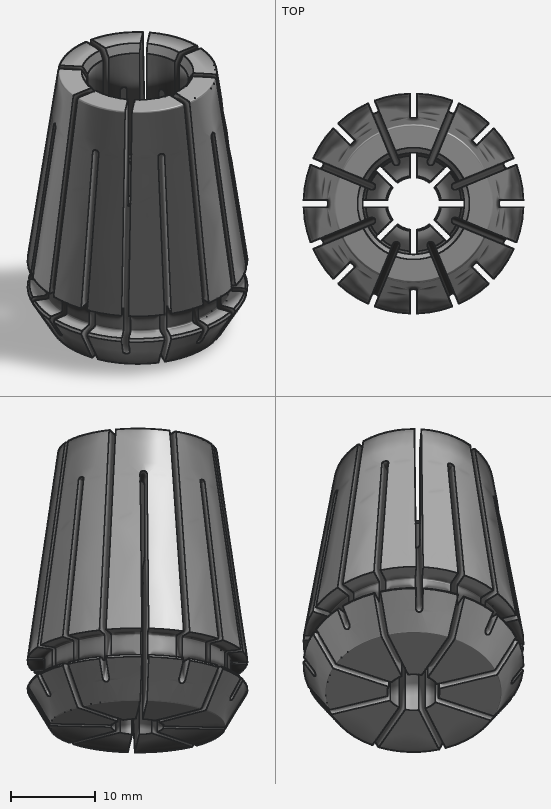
import cadquery as cq
import math

height = 34.0
max_radius = 13.0
clamp_angle = math.radians(8)
nut_angle = math.radians(30)
top_fillet = 0.27
nose_fillet = 0.17

groove_bottom = 4.93
groove_top = 8.13
groove_radius = 11.0
groove_fillet = 0.25
flange_chamfer_width = 0.25
flange_chamfer_height = 0.35

grip_radius = 3.1
grip_chamfer = 0.17
relief_radius = 6.0
relief_bottom = 18.8
relief_corner = 0.35
mouth_radius = 6.6
mouth_depth = 1.02

slots_per_end = 8
slot_width = 0.8
slot_radius = slot_width / 2
slot_pitch = 360 / slots_per_end
lower_slot_top = 28.45
upper_slot_slope = 2.5
upper_slot_exit_radius = 11.53
upper_slot_exit_height = 3.33
clearance = 1.7


def revolved_body():
    """Collet profile turned about Z, bore included."""
    top_radius = max_radius - (height - groove_top) * math.tan(clamp_angle)
    flange_edge = groove_bottom - flange_chamfer_height
    nose_radius = max_radius - flange_edge * math.tan(nut_angle)
    bulge = groove_fillet * (1 - math.sqrt(0.5))
    fillet_radius = groove_radius + groove_fillet
    body = (
        cq.Workplane("XZ")
        .moveTo(grip_radius, 0)
        .lineTo(nose_radius, 0)
        .lineTo(max_radius, flange_edge)
        .lineTo(max_radius - flange_chamfer_width, groove_bottom)
        .lineTo(fillet_radius, groove_bottom)
        .threePointArc(
            (groove_radius + bulge, groove_bottom + bulge),
            (groove_radius, groove_bottom + groove_fillet),
        )
        .lineTo(groove_radius, groove_top - groove_fillet)
        .threePointArc(
            (groove_radius + bulge, groove_top - bulge),
            (fillet_radius, groove_top),
        )
        .lineTo(max_radius, groove_top)
        .lineTo(top_radius, height)
        .lineTo(mouth_radius, height)
        .lineTo(relief_radius, height - mouth_depth)
        .lineTo(relief_radius, relief_bottom + relief_corner)
        .lineTo(relief_radius - relief_corner, relief_bottom)
        .lineTo(grip_radius + grip_chamfer, relief_bottom)
        .lineTo(grip_radius, relief_bottom - grip_chamfer)
        .close()
        .revolve(360, (0, 0, 0), (0, 1, 0))
    )
    outer_rim = cq.selectors.RadiusNthSelector(-1)
    body = body.faces(">Z").edges(outer_rim).fillet(top_fillet)
    return body.faces("<Z").edges(outer_rim).fillet(nose_fillet)


def lower_slot():
    """Radial slot along +X, open at the bottom, with a round upper end."""
    reach = max_radius + clearance
    shoulder = lower_slot_top - slot_radius
    return (
        cq.Workplane("YZ")
        .moveTo(-slot_radius, -clearance)
        .lineTo(-slot_radius, shoulder)
        .threePointArc((0, lower_slot_top), (slot_radius, shoulder))
        .lineTo(slot_radius, -clearance)
        .close()
        .extrude(reach)
    )


def upper_slot():
    """Slot along +X, open at the top, with a round floor sloping down and outward."""
    reach = max_radius + clearance
    axis_start = upper_slot_exit_height + upper_slot_exit_radius * upper_slot_slope
    axis_end = axis_start - reach * upper_slot_slope
    opening = (
        cq.Workplane("XZ")
        .polyline([
            (0, axis_start),
            (reach, axis_end),
            (reach, height + clearance),
            (0, height + clearance),
        ])
        .close()
        .extrude(slot_radius, both=True)
    )
    floor = cq.Solid.makeCylinder(
        slot_radius,
        math.hypot(reach, axis_start - axis_end),
        cq.Vector(0, 0, axis_start),
        cq.Vector(reach, 0, axis_end - axis_start),
    )
    return opening.union(cq.Workplane(floor))


result = revolved_body()
for i in range(slots_per_end):
    angle = i * slot_pitch
    result = result.cut(lower_slot().rotate((0, 0, 0), (0, 0, 1), angle))
    result = result.cut(upper_slot().rotate((0, 0, 0), (0, 0, 1), angle + slot_pitch / 2))